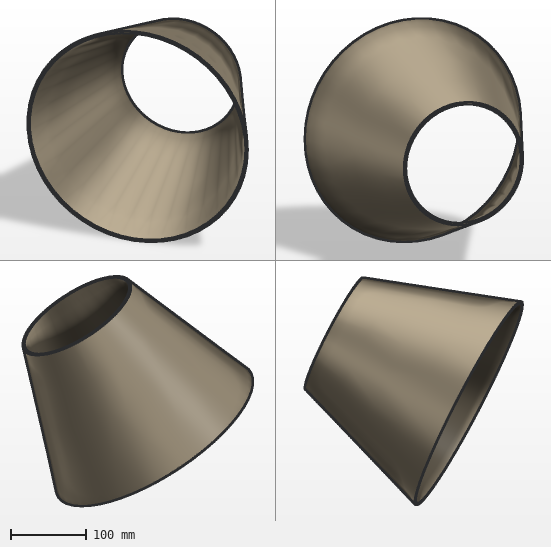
import cadquery as cq
import math

wide_diameter = 306.0
narrow_diameter = 168.3
length = 203.0
wall_thickness = 3.0

wide_radius = wide_diameter / 2
narrow_radius = narrow_diameter / 2

slope_angle = math.atan2(wide_radius - narrow_radius, length)
ring_width = wall_thickness / math.cos(slope_angle)

wall_section = (
    cq.Workplane("XY")
    .moveTo(wide_radius - ring_width, 0)
    .lineTo(wide_radius, 0)
    .lineTo(narrow_radius, length)
    .lineTo(narrow_radius - ring_width, length)
    .close()
)

result = wall_section.revolve(360, (0, 0, 0), (0, 1, 0))